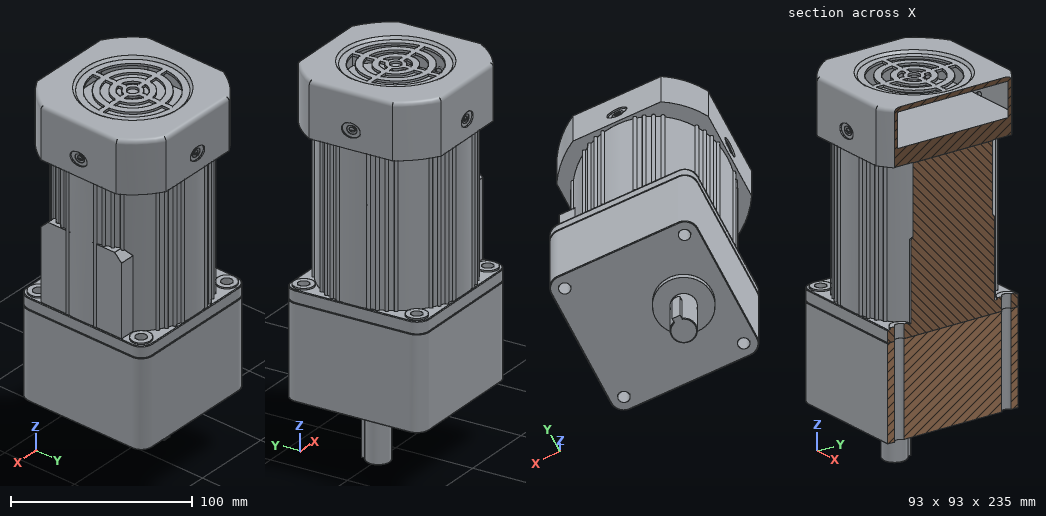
import cadquery as cq
import math


BOSS_BOTTOM = 32.5
GEARBOX_BOTTOM = 36.5
FLANGE_BOTTOM = 96.5
FLANGE_TOP = 104.3
COVER_BOTTOM = 199.5
COVER_TOP = 235.0

SQUARE_SIDE = 90.0
CORNER_RADIUS = 8.0
EDGE_CHAMFER = 0.5
BOLT_SPACING = 73.5
BOLT_HOLE_DIAMETER = 6.8
PAD_DIAMETER = 13.0
PAD_HEIGHT = 1.0

SHAFT_OFFSET = 18.0
SHAFT_DIAMETER = 15.0
SHAFT_CHAMFER = 0.5
BOSS_DIAMETER = 34.5
KEY_WIDTH = 5.0
KEY_REACH = 9.5
KEY_TOP = 25.5

TUBE_RADIUS = 45.0
RIB_CENTRE_RADIUS = 45.1
RIB_GROUPS = 8
RIBS_PER_GROUP = 4
RIB_PITCH_ANGLE = 6.6
RIB_DIAMETER = 2.0

BOX_FACE_X = 44.2
BOX_WIDTH = 57.8
BOX_TOP = 158.9
BOX_CHAMFER = 5.0

COVER_SIDE = 93.0
COVER_CORNER_RADIUS = 53.8
COVER_FILLET = 3.0
COVER_SIDES = 4
COVER_WALL = 1.9
CHAMBER_FLOOR = 210.5

GRILLE_DIAMETER = 66.3
GRILLE_RECESS = 1.6
GRILLE_TAPER_ANGLE = 45
GRILLE_THICKNESS = 1.5
SPOKE_WIDTH = 3.3
GRILLE_HOLE_RADIUS = 3.5
SLOT_RADII = [(6.0, 9.2), (13.2, 18.0), (22.3, 27.3)]

SCREW_HEIGHT = 211.3
SCREW_STEPS = [(6.0, 4.5, 1.0), (3.3, 2.5, 1.2), (1.9, 1.5, 1.6)]


def rounded_square(bottom, top):
    """Square block with rounded upright edges."""
    block = cq.Workplane("XY").workplane(offset=bottom).rect(SQUARE_SIDE, SQUARE_SIDE).extrude(top - bottom)
    return block.edges("|Z").fillet(CORNER_RADIUS)


def cylinder(radius, bottom, top, x=0.0):
    return cq.Workplane("XY").workplane(offset=bottom).center(x, 0).circle(radius).extrude(top - bottom)


def corner_cylinders(diameter, bottom, top):
    """One cylinder at each of the four mounting bolts."""
    plane = cq.Workplane("XY").workplane(offset=bottom)
    corners = plane.rect(BOLT_SPACING, BOLT_SPACING, forConstruction=True)
    return corners.vertices().circle(diameter / 2).extrude(top - bottom)


def shaft_key():
    """Key on the +Y side of the shaft, with a round upper end and a square lower end."""
    half_width = KEY_WIDTH / 2
    return (
        cq.Workplane("XZ", origin=(-SHAFT_OFFSET, 0, 0))
        .moveTo(-half_width, 0)
        .lineTo(half_width, 0)
        .lineTo(half_width, KEY_TOP - half_width)
        .threePointArc((0, KEY_TOP), (-half_width, KEY_TOP - half_width))
        .close()
        .extrude(-KEY_REACH)
    )


def make_gearbox():
    """Gear housing in one piece with its boss, output shaft and key."""
    housing = rounded_square(GEARBOX_BOTTOM, FLANGE_BOTTOM).faces("<Z or >Z").edges().chamfer(EDGE_CHAMFER)
    housing = housing.cut(corner_cylinders(BOLT_HOLE_DIAMETER, GEARBOX_BOTTOM, FLANGE_BOTTOM))
    boss = cylinder(BOSS_DIAMETER / 2, BOSS_BOTTOM, GEARBOX_BOTTOM, -SHAFT_OFFSET)
    shaft = cylinder(SHAFT_DIAMETER / 2, 0, BOSS_BOTTOM, -SHAFT_OFFSET).faces("<Z").chamfer(SHAFT_CHAMFER)
    return housing.union(boss).union(shaft).union(shaft_key())


def ribbed_tube():
    """Motor tube with groups of rounded ribs along its length."""
    length = COVER_BOTTOM - FLANGE_TOP
    tube = cylinder(TUBE_RADIUS, FLANGE_TOP, COVER_BOTTOM)
    group_angle = 360 / RIB_GROUPS
    centres = []
    for group in range(RIB_GROUPS):
        for index in range(RIBS_PER_GROUP):
            from_middle = (index - (RIBS_PER_GROUP - 1) / 2) * RIB_PITCH_ANGLE
            angle = math.radians((group + 0.5) * group_angle + from_middle)
            centres.append((RIB_CENTRE_RADIUS * math.cos(angle), RIB_CENTRE_RADIUS * math.sin(angle)))
    ribs = cq.Workplane("XY").workplane(offset=FLANGE_TOP).pushPoints(centres)
    return tube.union(ribs.circle(RIB_DIAMETER / 2).extrude(length))


def terminal_box():
    """Flat-faced box that fills out the tube on the +X side, with chamfered upper corners."""
    box = cq.Workplane("XY").box(
        BOX_FACE_X, BOX_WIDTH, BOX_TOP - FLANGE_TOP, centered=(False, True, False)
    )
    return box.edges("|X and >Z").chamfer(BOX_CHAMFER).translate((0, 0, FLANGE_TOP))


def make_motor():
    """Mounting flange with raised bolt pads, ribbed tube and terminal box."""
    flange = rounded_square(FLANGE_BOTTOM, FLANGE_TOP).faces(">Z").edges().chamfer(EDGE_CHAMFER)
    pad_top = FLANGE_TOP + PAD_HEIGHT
    flange = flange.union(corner_cylinders(PAD_DIAMETER, FLANGE_BOTTOM, pad_top))
    motor = flange.union(ribbed_tube()).union(terminal_box())
    return motor.cut(corner_cylinders(BOLT_HOLE_DIAMETER, FLANGE_BOTTOM, pad_top))


def cover_block(inset, bottom, top):
    """Square block whose corners are rounded off by a large cylinder on the motor axis."""
    side = COVER_SIDE - 2 * inset
    block = cq.Workplane("XY").workplane(offset=bottom).rect(side, side).extrude(top - bottom)
    return block.intersect(cylinder(COVER_CORNER_RADIUS - inset, bottom, top))


def grille_openings(bottom, top):
    """Centre hole and rings of slots, with the rings parted by two crossing spokes."""
    height = top - bottom
    plane = cq.Workplane("XY").workplane(offset=bottom)
    rings = cylinder(GRILLE_HOLE_RADIUS, bottom, top)
    spokes = plane.rect(COVER_SIDE, SPOKE_WIDTH).extrude(height)
    spokes = spokes.union(plane.rect(SPOKE_WIDTH, COVER_SIDE).extrude(height))
    for inner, outer in SLOT_RADII:
        rings = rings.union(plane.circle(outer).circle(inner).extrude(height).cut(spokes))
    return rings


def screw_recess():
    """Stepped oval recess in the -Y side of the cover."""
    face = cq.Workplane("XZ", origin=(0, -COVER_SIDE / 2, SCREW_HEIGHT))
    recess = cq.Workplane("XZ")
    for half_width, half_height, depth in SCREW_STEPS:
        recess = recess.union(face.ellipse(half_width, half_height).extrude(-depth))
    return recess


def make_fan_cover():
    """Hollow cap with a sunken grille in its top and a screw recess in each side."""
    recess_floor = COVER_TOP - GRILLE_RECESS
    chamber_top = recess_floor - GRILLE_THICKNESS
    cover = cover_block(0, COVER_BOTTOM, COVER_TOP).faces(">Z").edges().fillet(COVER_FILLET)
    cover = cover.cut(cover_block(COVER_WALL, CHAMBER_FLOOR, chamber_top))
    recess = (
        cq.Workplane("XY")
        .workplane(offset=COVER_TOP)
        .circle(GRILLE_DIAMETER / 2)
        .extrude(-GRILLE_RECESS, taper=GRILLE_TAPER_ANGLE)
    )
    cover = cover.cut(recess).cut(grille_openings(chamber_top, recess_floor))
    for side in range(COVER_SIDES):
        cover = cover.cut(screw_recess().rotate((0, 0, 0), (0, 0, 1), 360 / COVER_SIDES * side))
    return cover


gearbox = make_gearbox()
motor = make_motor()
fan_cover = make_fan_cover()

result = cq.Compound.makeCompound([body.solids().val() for body in (gearbox, motor, fan_cover)])